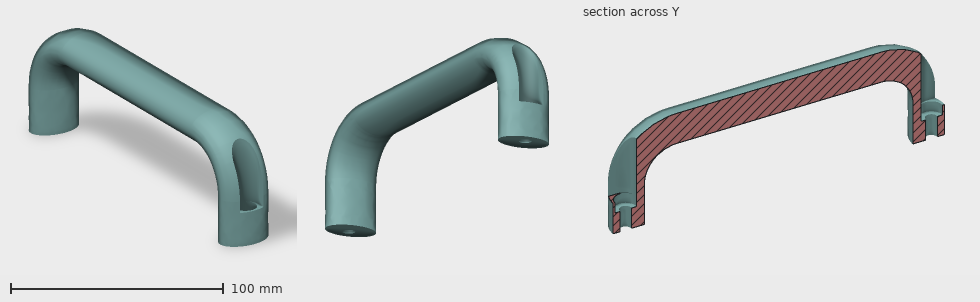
import cadquery as cq

length = 178.0
width = 26.0
height = 57.0

thickness = 17.0

bend_outer_radius = 34.0

screw_inset = 7.0
screw_hole_diameter = 6.0
seat_diameter = 11.4
seat_depth = 5.5
relief_width = 13.4
relief_floor_height = 17.0

half_length = length / 2
leg_height = height - bend_outer_radius
straight_length = length - 2 * bend_outer_radius


def leg_section():
    """Oval cross-section at the foot of the -X leg."""
    center_x = -half_length + thickness / 2
    return cq.Workplane("XY").center(center_x, 0).ellipse(thickness / 2, width / 2)


def rail_section():
    """Oval cross-section of the rail where it leaves the -X bend."""
    rail_start = (-straight_length / 2, 0, height - thickness / 2)
    return cq.Workplane("YZ", origin=rail_start).ellipse(width / 2, thickness / 2)


def quarter_bend():
    """The -X bend, turning about an axis level with the top of the leg."""
    axis_offset = bend_outer_radius - thickness / 2
    return leg_section().revolve(90, (axis_offset, 0, 0), (axis_offset, 1, 0)).translate((0, 0, leg_height))


def screw_seat():
    """Material removed for the -X screw and its access from above."""
    screw_x = -half_length + screw_inset
    base = cq.Workplane("XY").center(screw_x, 0)
    hole = base.circle(screw_hole_diameter / 2).extrude(height)

    seat_height = relief_floor_height - seat_depth
    seat = (
        base.workplane(offset=seat_height)
        .circle(seat_diameter / 2)
        .extrude(height - seat_height)
    )

    relief_x = screw_x + (seat_diameter - relief_width) / 2
    relief_height = height - relief_floor_height
    relief_base = cq.Workplane("XY", origin=(relief_x, 0, relief_floor_height))
    round_end = relief_base.circle(relief_width / 2).extrude(relief_height)
    open_side = (
        relief_base.center(-screw_inset / 2, 0)
        .rect(screw_inset, relief_width)
        .extrude(relief_height)
    )
    return hole.union(seat).union(round_end).union(open_side)


leg = leg_section().extrude(leg_height)
end = leg.union(quarter_bend()).cut(screw_seat())
rail = rail_section().extrude(straight_length)
result = rail.union(end).union(end.mirror("YZ"))